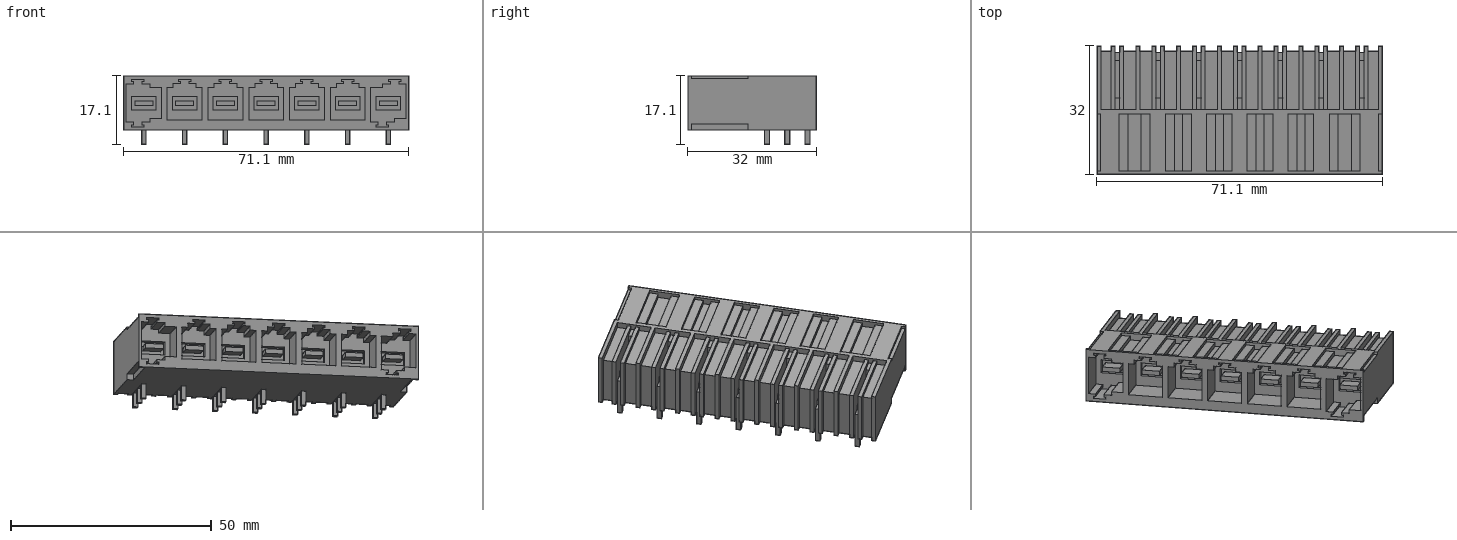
import cadquery as cq
LENGTH = 71.1
DEPTH = 32.0
HEIGHT = 13.5
MID_Z = HEIGHT / 2
HALF_LENGTH = LENGTH / 2

POLE_COUNT = 7
PITCH = LENGTH / POLE_COUNT
POLE_CENTRES = [(i - (POLE_COUNT - 1) / 2) * PITCH for i in range(POLE_COUNT)]
LAST_POLE = POLE_COUNT - 1

FRONT_BLOCK_DEPTH = 16.15
DECK_DROP = 1.5
RIB_OVERHANG = 1.3
RIB_THICKNESS = 1.0
PIN_RIB_DROP = 0.6
DECK_TOP = HEIGHT - DECK_DROP
DECK_BACK = DEPTH - RIB_OVERHANG

CAVITY_HALF_WIDTH = 4.35
END_CAVITY_HALF_WIDTH = 4.4
CAVITY_BACK = 7.8
CAVITY_TOP = 10.6
PLAIN_CAVITY_FLOOR = 2.5
KEY_HEAD_TOP = 12.65
KEY_HEAD_BOTTOM = 12.15
KEY_HEAD_HALF_WIDTH = 1.6
KEY_NECK_HALF_WIDTH = 1.1
SHOULDER_HALF_WIDTH = 2.85
SHOULDER_TOP = 11.65
END_KEY_OFFSET = 1.6
END_SHOULDER_REACH = 1.5
END_SHOULDER_TOP = 11.5

BLADE_RECESS_WIDTH = 6.1
BLADE_RECESS_HEIGHT = 3.35
BLADE_RECESS_DEPTH = 1.4

POCKET_FRONT = 0.85
POCKET_BACK = 15.0
POCKET_LEDGE_WIDTH = 2.2
POCKET_LEDGE_DROP = 0.7
POCKET_GROOVE_DROP = 1.7
GROOVE_HALF_WIDTH = 1.0
END_GROOVE_HALF_WIDTH = 1.65
END_POCKET_SHIFT = 0.8
TOP_RABBET_WIDTH = 0.9
TOP_RABBET_HEIGHT = 0.65
BOTTOM_RABBET_WIDTH = 1.65
BOTTOM_RABBET_HEIGHT = 1.5

SHEET = 1.15
BLADE_WIDTH = 4.5
BLADE_TIP_Y = 5.7
BLADE_TOP = MID_Z + SHEET / 2
LEG_COUNT = 3
LEG_WIDTH = 1.3
LEG_LENGTH = 3.55
LEG_PITCH = 5.05
PLATE_BACK = DEPTH - 1.6
PLATE_FRONT = PLATE_BACK - (LEG_COUNT - 1) * LEG_PITCH - LEG_WIDTH
PLATE_STEP_LENGTH = 2.0
PLATE_STEP_DROP = 1.15


def block(x_range, y_range, z_range):
    """Axis-aligned box between the given limits."""
    (x0, x1), (y0, y1), (z0, z1) = (sorted(limits) for limits in (x_range, y_range, z_range))
    return cq.Workplane("XY").box(x1 - x0, y1 - y0, z1 - z0, centered=False).translate((x0, y0, z0))


def around(centre, half_width):
    """Limits at the same distance on both sides of a centre."""
    return (centre - half_width, centre + half_width)


def rib(x, top):
    """One upright rib along the rear deck, centred on x."""
    return block(around(x, RIB_THICKNESS / 2), (FRONT_BLOCK_DEPTH, DEPTH), (0, top))


def housing_blank():
    """Full-height front block, lower rear deck and the ribs on it."""
    blank = block((-HALF_LENGTH, HALF_LENGTH), (0, FRONT_BLOCK_DEPTH), (0, HEIGHT))
    blank = blank.union(block((-HALF_LENGTH, HALF_LENGTH), (FRONT_BLOCK_DEPTH, DECK_BACK), (0, DECK_TOP)))

    end_wall_x = HALF_LENGTH - RIB_THICKNESS / 2
    divider_centres = [x + PITCH / 2 for x in POLE_CENTRES[:-1]]
    for x in [-end_wall_x, *divider_centres, end_wall_x]:
        blank = blank.union(rib(x, HEIGHT))

    beside_pin = (SHEET + RIB_THICKNESS) / 2
    for x in POLE_CENTRES:
        for side in (-1, 1):
            blank = blank.union(rib(x + side * beside_pin, HEIGHT - PIN_RIB_DROP))
    return blank


def keyway(key_x, shoulder_x, shoulder_top):
    """Shoulder, neck and T-head above a cavity, reaching down to mid height."""
    y_range = (0, CAVITY_BACK)
    shoulder = block(shoulder_x, y_range, (MID_Z, shoulder_top))
    neck = block(around(key_x, KEY_NECK_HALF_WIDTH), y_range, (MID_Z, KEY_HEAD_TOP))
    head = block(around(key_x, KEY_HEAD_HALF_WIDTH), y_range, (KEY_HEAD_BOTTOM, KEY_HEAD_TOP))
    return shoulder.union(neck).union(head)


def blade_recess():
    """Shallow recess in the cavity back wall, centred on X = 0."""
    return block(
        around(0, BLADE_RECESS_WIDTH / 2),
        (CAVITY_BACK, CAVITY_BACK + BLADE_RECESS_DEPTH),
        around(MID_Z, BLADE_RECESS_HEIGHT / 2),
    )


def plain_cavity():
    """Cavity of an inner pole, centred on X = 0, with one central keyway."""
    cavity = block(around(0, CAVITY_HALF_WIDTH), (0, CAVITY_BACK), (PLAIN_CAVITY_FLOOR, CAVITY_TOP))
    return cavity.union(keyway(0, around(0, SHOULDER_HALF_WIDTH), SHOULDER_TOP)).union(blade_recess())


def end_cavity(upper_side, lower_side):
    """Cavity of an end pole; each side is -1 or +1, the way that keyway is shifted."""
    cavity = block(
        around(0, END_CAVITY_HALF_WIDTH), (0, CAVITY_BACK), (HEIGHT - CAVITY_TOP, CAVITY_TOP)
    )

    def shifted_keyway(side):
        shoulder_x = (side * END_CAVITY_HALF_WIDTH, -side * END_SHOULDER_REACH)
        return keyway(side * END_KEY_OFFSET, shoulder_x, END_SHOULDER_TOP)

    lower_keyway = shifted_keyway(lower_side).mirror("XY", (0, 0, MID_Z))
    return cavity.union(shifted_keyway(upper_side)).union(lower_keyway).union(blade_recess())


def top_pocket(index):
    """Stepped pocket in the top face between the pole of this index and the next one."""
    x = POLE_CENTRES[index] + PITCH / 2
    groove_half = GROOVE_HALF_WIDTH
    if index == 0:
        x -= END_POCKET_SHIFT
    if index == LAST_POLE - 1:
        x += END_POCKET_SHIFT
    if index in (0, LAST_POLE - 1):
        groove_half = END_GROOVE_HALF_WIDTH
    y_range = (POCKET_FRONT, POCKET_BACK)
    ledges = block(
        around(x, groove_half + POCKET_LEDGE_WIDTH), y_range, (HEIGHT - POCKET_LEDGE_DROP, HEIGHT)
    )
    groove = block(around(x, groove_half), y_range, (HEIGHT - POCKET_GROOVE_DROP, HEIGHT))
    return ledges.union(groove)


def edge_rabbets(side):
    """Rabbets along the upper and lower edge of one end; side is -1 or +1."""
    outer_x = side * HALF_LENGTH
    upper_x = (outer_x, side * (HALF_LENGTH - TOP_RABBET_WIDTH))
    lower_x = (outer_x, side * (HALF_LENGTH - BOTTOM_RABBET_WIDTH))
    y_range = (POCKET_FRONT, POCKET_BACK)
    upper = block(upper_x, y_range, (HEIGHT - TOP_RABBET_HEIGHT, HEIGHT))
    lower = block(lower_x, y_range, (0, BOTTOM_RABBET_HEIGHT))
    return upper.union(lower)


def pin_seat():
    """Blade slit and open-backed plate slot for the pin at X = 0."""
    slit = block(around(0, BLADE_WIDTH / 2), (CAVITY_BACK, PLATE_FRONT), around(MID_Z, SHEET / 2))
    plate_slot = block(around(0, SHEET / 2), (PLATE_FRONT, DEPTH), (0, HEIGHT))
    return slit.union(plate_slot)


def make_housing():
    """Ribbed housing with its cavities, pin seats, pockets and rabbets."""
    body = housing_blank()
    inner_cavities = [plain_cavity() for _ in POLE_CENTRES[1:-1]]
    cavities = [end_cavity(-1, -1), *inner_cavities, end_cavity(1, -1)]
    for x, cavity in zip(POLE_CENTRES, cavities):
        opening = cavity.union(pin_seat())
        body = body.cut(opening.translate((x, 0, 0)))
    for index in range(LAST_POLE):
        body = body.cut(top_pocket(index))
    for side in (-1, 1):
        body = body.cut(edge_rabbets(side))
    return body


def make_pin(x):
    """Flat blade joined to an upright plate with a row of solder legs."""
    thickness = around(0, SHEET / 2)
    step_y = PLATE_BACK - PLATE_STEP_LENGTH
    pin = block(around(0, BLADE_WIDTH / 2), (BLADE_TIP_Y, PLATE_FRONT), around(MID_Z, SHEET / 2))
    pin = pin.union(block(thickness, (PLATE_FRONT, step_y), (0, BLADE_TOP)))
    pin = pin.union(block(thickness, (step_y, PLATE_BACK), (0, BLADE_TOP - PLATE_STEP_DROP)))
    for leg in range(LEG_COUNT):
        leg_front = PLATE_FRONT + leg * LEG_PITCH
        pin = pin.union(block(thickness, (leg_front, leg_front + LEG_WIDTH), (-LEG_LENGTH, 0)))
    return pin.translate((x, 0, 0))


housing = make_housing()
pins = [make_pin(x) for x in POLE_CENTRES]

result = cq.Compound.makeCompound([housing.solids().val(), *[pin.solids().val() for pin in pins]])